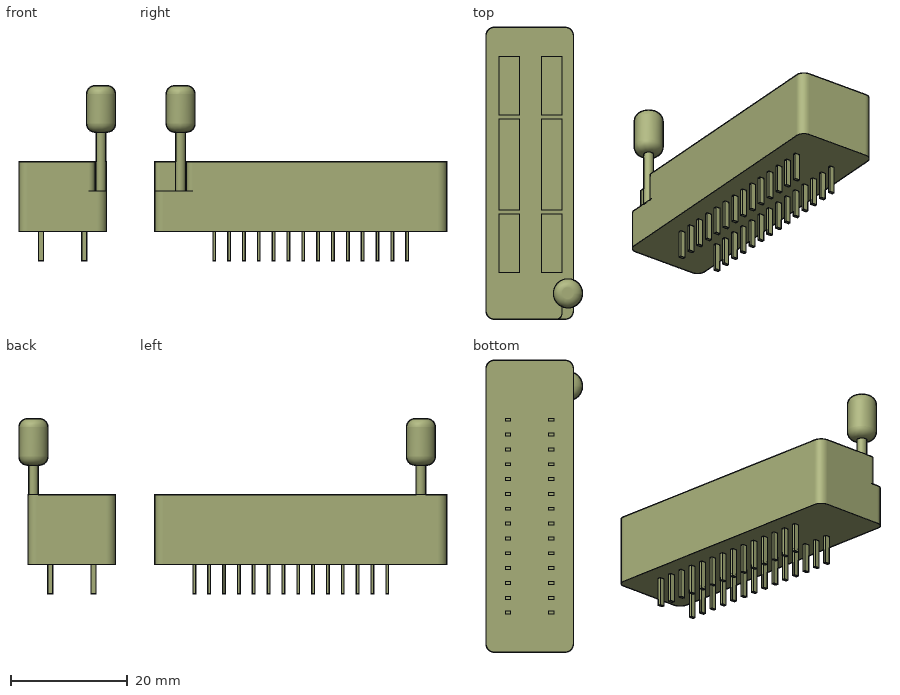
import cadquery as cq

body_width = 15.0
body_length = 50.0
body_height = 12.0
corner_radius = 1.5

pocket_width = 3.5
pocket_depth = 3.0
pocket_column_spacing = 7.25
pocket_column_center_x = 0.15
pocket_lengths = (10.0, 15.5, 10.0)
pocket_gap = 0.75
pocket_end_margin = 5.0

pins_per_row = 14
pin_row_length = 33.0
pin_row_spacing = 7.4
pin_row_center_y = 1.7
pin_width = 0.9
pin_thickness = 0.5
pin_length = 5.0

lever_x = 6.55
lever_y = -20.55
rod_diameter = 1.7
knob_diameter = 5.0
knob_height = 8.0
knob_edge_radius = 1.5
lever_top = 25.0

notch_depth = 5.0
notch_width = 2.0
notch_length = 5.5
notch_mouth_radius = 1.0
notch_floor = body_height - notch_depth


def make_body():
    block = cq.Workplane("XY").box(body_width, body_length, body_height, centered=(True, True, False))
    return block.edges("|Z").fillet(corner_radius)


def make_pockets():
    pockets = cq.Workplane("XY")
    floor = body_height - pocket_depth
    for side in (-1, 1):
        center_x = pocket_column_center_x + side * pocket_column_spacing / 2
        end_y = body_length / 2 - pocket_end_margin
        for length in pocket_lengths:
            pocket = (
                cq.Workplane("XY", origin=(center_x, end_y - length / 2, floor))
                .rect(pocket_width, length)
                .extrude(pocket_depth)
            )
            pockets = pockets.add(pocket)
            end_y -= length + pocket_gap
    return pockets.combine()


def make_notch():
    side_x = body_width / 2
    front_y = -body_length / 2
    wall_x = side_x - notch_width
    back_y = front_y + notch_length
    return (
        cq.Workplane("XY", origin=(0, 0, notch_floor))
        .moveTo(side_x, front_y)
        .lineTo(side_x, back_y + notch_mouth_radius)
        .radiusArc((side_x - notch_mouth_radius, back_y), notch_mouth_radius)
        .lineTo(wall_x, back_y)
        .lineTo(wall_x, front_y + notch_mouth_radius)
        .radiusArc((wall_x - notch_mouth_radius, front_y), notch_mouth_radius)
        .close()
        .extrude(notch_depth)
    )


def make_pins():
    pitch = pin_row_length / (pins_per_row - 1)
    return (
        cq.Workplane("XY")
        .center(0, pin_row_center_y)
        .rarray(pin_row_spacing, pitch, 2, pins_per_row)
        .rect(pin_width, pin_thickness)
        .extrude(-pin_length)
    )


def make_lever():
    knob_bottom = lever_top - knob_height
    rod = (
        cq.Workplane("XY", origin=(lever_x, lever_y, notch_floor))
        .circle(rod_diameter / 2)
        .extrude(knob_bottom - notch_floor)
    )
    knob = (
        cq.Workplane("XY", origin=(lever_x, lever_y, knob_bottom))
        .circle(knob_diameter / 2)
        .extrude(knob_height)
        .edges()
        .fillet(knob_edge_radius)
    )
    return rod.union(knob)


result = make_body().cut(make_pockets()).cut(make_notch()).union(make_pins()).union(make_lever())